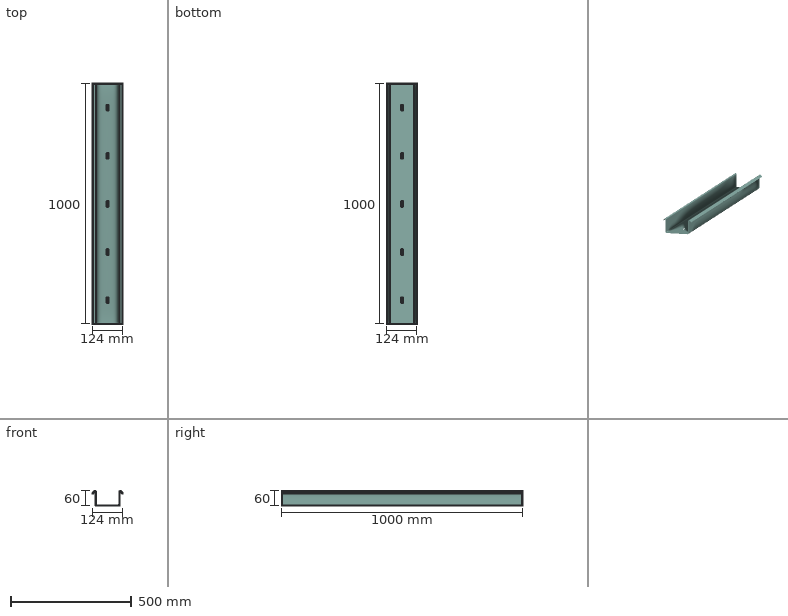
import cadquery as cq
import math

length = 1000
lip_span = 124.0
height = 60

web_width = 100
sheet = 1.0
bend_inner = 3.0
bend_outer = bend_inner + sheet
lip_angle = math.radians(50)

slot_count = 5
slot_pitch = 200
slot_length = 22.0
slot_width = 6.0


def on_circle(center, radius, angle):
    """Point on a circle at the given angle from +X."""
    return (center[0] + radius * math.cos(angle), center[1] + radius * math.sin(angle))


def half_channel():
    """Right half of the channel: half web, wall and outward sloping lip."""
    wall_outer = web_width / 2
    wall_inner = wall_outer - sheet
    base_center = (wall_outer - bend_outer, bend_outer)
    lip_center = (wall_inner + bend_outer, height - bend_outer)
    base_middle = math.radians(-45)
    lip_start = math.pi / 2 - lip_angle
    lip_middle = (math.pi + lip_start) / 2

    lip_top_start = on_circle(lip_center, bend_outer, lip_start)
    lip_run = lip_span / 2 - lip_top_start[0]
    lip_top_end = (lip_span / 2, lip_top_start[1] - lip_run * math.tan(lip_angle))
    lip_under_end = (
        lip_top_end[0] - sheet * math.sin(lip_angle),
        lip_top_end[1] - sheet * math.cos(lip_angle),
    )

    profile = (
        cq.Workplane("XZ", origin=(0, length / 2, 0))
        .moveTo(0, 0)
        .lineTo(base_center[0], 0)
        .threePointArc(on_circle(base_center, bend_outer, base_middle), (wall_outer, bend_outer))
        .lineTo(wall_outer, lip_center[1])
        .threePointArc(
            on_circle(lip_center, bend_inner, lip_middle),
            on_circle(lip_center, bend_inner, lip_start),
        )
        .lineTo(*lip_under_end)
        .lineTo(*lip_top_end)
        .lineTo(*lip_top_start)
        .threePointArc(on_circle(lip_center, bend_outer, lip_middle), (wall_inner, lip_center[1]))
        .lineTo(wall_inner, bend_outer)
        .threePointArc(on_circle(base_center, bend_inner, base_middle), (base_center[0], sheet))
        .lineTo(0, sheet)
        .close()
    )
    return profile.extrude(length)


def fixing_slots():
    """Round-ended cutters passing through the web, long side along Y."""
    return (
        cq.Workplane("XY")
        .rarray(10, slot_pitch, 1, slot_count)
        .slot2D(slot_length, slot_width, 90)
        .extrude(sheet)
    )


right_half = half_channel()
channel = right_half.union(right_half.mirror("YZ")).clean()
result = channel.cut(fixing_slots())